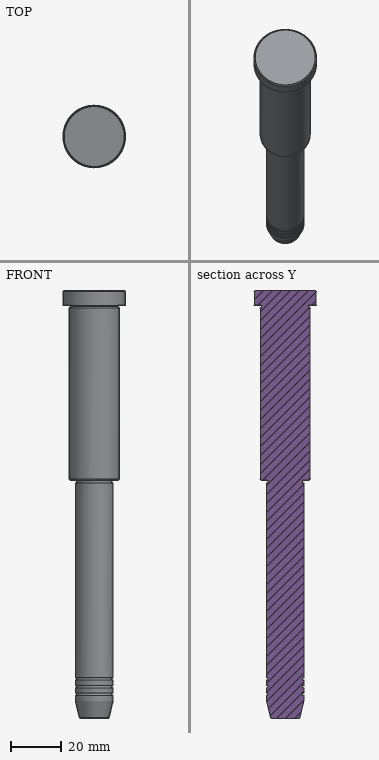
import cadquery as cq
import math

total_length = 171.0
head_radius = 12.5
head_height = 6.0
head_edge = 0.5
sleeve_radius = 10.0
sleeve_end_depth = 76.0
sleeve_edge = 0.5
pin_radius = 7.5

undercut_depth = 0.5
head_undercut_width = 0.5
pin_undercut_width = 1.0

groove_count = 3
groove_pitch = 3.0
first_groove_z = 15.9
groove_round_radius = 0.5

tip_length = 7.0
tip_end_radius = 6.0
tip_edge = 0.5


def cylinder(radius, bottom, top):
    """Solid cylinder about Z between two heights."""
    return cq.Workplane("XY").workplane(offset=bottom).circle(radius).extrude(top - bottom)


def make_head():
    head = cylinder(head_radius, total_length - head_height, total_length)
    return head.faces(">Z").edges().chamfer(head_edge)


def make_sleeve():
    """Sleeve with a chamfered lower rim and a relief neck under the head."""
    bottom = total_length - sleeve_end_depth
    top = total_length - head_height
    neck_bottom = top - head_undercut_width
    body = cylinder(sleeve_radius, bottom, neck_bottom)
    body = body.faces("<Z").edges().chamfer(sleeve_edge)
    body = body.faces(">Z").edges().chamfer(undercut_depth)
    neck = cylinder(sleeve_radius - undercut_depth, neck_bottom, top)
    return body.union(neck)


def make_pin():
    """Straight pin with a relief neck at its upper end."""
    neck_top = total_length - sleeve_end_depth
    neck_bottom = neck_top - pin_undercut_width
    body = cylinder(pin_radius, tip_length, neck_bottom)
    neck = cylinder(pin_radius - undercut_depth, neck_bottom, neck_top)
    return body.union(neck)


def make_tip():
    """Conical lead-in with a chamfered end."""
    return (
        cq.Workplane("XZ")
        .moveTo(0, 0)
        .lineTo(tip_end_radius - tip_edge, 0)
        .lineTo(tip_end_radius, tip_edge)
        .lineTo(pin_radius, tip_length)
        .lineTo(0, tip_length)
        .close()
        .revolve(360, (0, 0), (0, 1))
    )


def make_groove(height):
    """Ring cutter of half-round section, made of two quarter arcs meeting at the groove root."""
    root_radius = pin_radius - groove_round_radius
    diagonal = groove_round_radius * math.sqrt(0.5)
    return (
        cq.Workplane("XZ")
        .moveTo(pin_radius, height + groove_round_radius)
        .threePointArc((pin_radius - diagonal, height + diagonal), (root_radius, height))
        .threePointArc((pin_radius - diagonal, height - diagonal), (pin_radius, height - groove_round_radius))
        .close()
        .revolve(360, (0, 0), (0, 1))
    )


result = make_head().union(make_sleeve()).union(make_pin()).union(make_tip())
for index in range(groove_count):
    result = result.cut(make_groove(first_groove_z - index * groove_pitch))